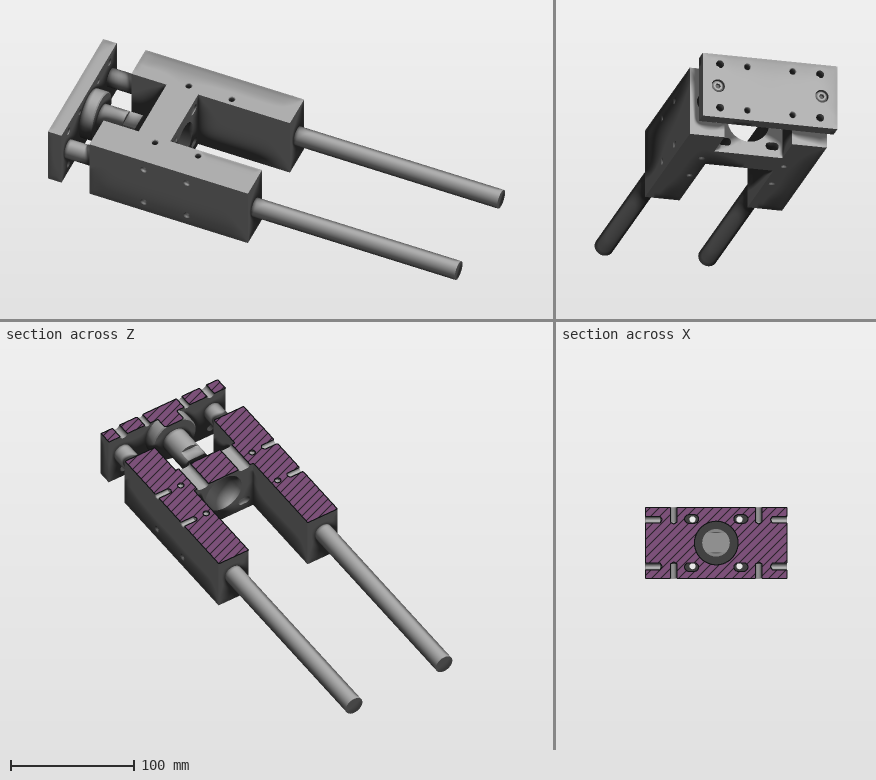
import cadquery as cq
import math


plate_thickness = 12.0
plate_width = 113.0
plate_height = 55.0

block_start = 37.0
block_length = 140.0
block_width = 115.0
block_height = 58.0
arm_width = 29.0
bridge_start = 68.0
bridge_thickness = 28.0
bridge_bore_diameter = 35.0
slot_length = 11.0
slot_width = 6.6
slot_pitch_y = 40.0
slot_pitch_z = 39.0

rod_diameter = 16.0
rod_spacing = 87.0
rod_end = 357.0

flange_diameter = 42.22
flange_thickness = 11.0
flange_chamfer = 1.0
shaft_diameter = 22.35
shaft_end = 56.0
flat_length = 11.0
across_flats = 15.6

bolt_pitch = 38.0
bolt_hole_diameter = 6.6
outer_hole_spacing = 84.0
tapped_diameter = 4.92
tapped_mouth_diameter = 6.0
tapped_depth = 12.0
drill_point_angle = 118.0
first_tapped_x = 85.0
top_tapped_spacing = 69.0

counterbore_diameter = 11.0
counterbore_depth = 7.0
screw_head_diameter = 10.0
screw_head_recess = 0.7
screw_head_chamfer = 1.5
socket_across_flats = 4.0
socket_depth = 3.0


def box_from(x_start, length, width, height):
    """Box that starts at x_start and is centred on the X axis."""
    box = cq.Workplane("XY").box(length, width, height, centered=(False, True, True))
    return box.translate((x_start, 0, 0))


def cylinder_along_x(x_start, length, diameter, y=0.0):
    """Cylinder that starts at x_start, with its axis parallel to X at height Z = 0."""
    profile = cq.Workplane("YZ", origin=(x_start, y, 0)).circle(diameter / 2)
    return profile.extrude(length)


def tapped_hole(depth):
    """Drilled hole with a drill point and a 45 degree countersunk mouth, going down from the origin."""
    radius = tapped_diameter / 2
    mouth_radius = tapped_mouth_diameter / 2
    point_length = radius / math.tan(math.radians(drill_point_angle / 2))
    half_profile = cq.Workplane("XZ").polyline([
        (0, 0),
        (mouth_radius, 0),
        (radius, radius - mouth_radius),
        (radius, -depth),
        (0, -depth - point_length),
    ])
    return half_profile.close().revolve(360, (0, 0, 0), (0, 1, 0))


def make_plate():
    """Front plate with four tapped and four clearance holes, all going through."""
    plate = box_from(0, plate_thickness, plate_width, plate_height)
    tapped_through_hole = tapped_hole(plate_thickness).rotate((0, 0, 0), (0, 1, 0), -90)
    clearance_hole = cylinder_along_x(0, plate_thickness, bolt_hole_diameter)
    for side in (-1, 1):
        for z in (-bolt_pitch / 2, bolt_pitch / 2):
            plate = plate.cut(tapped_through_hole.translate((0, side * bolt_pitch / 2, z)))
            plate = plate.cut(clearance_hole.translate((0, side * outer_hole_spacing / 2, z)))
    return plate


def make_rod_screw_recess(y):
    """Counterbore around a chamfered screw head, together with the hexagon socket in the head."""
    head_height = counterbore_depth - screw_head_recess
    head = cylinder_along_x(screw_head_recess, head_height, screw_head_diameter)
    head = head.faces("<X").chamfer(screw_head_chamfer)
    socket_corner_diameter = socket_across_flats / math.cos(math.pi / 6)
    socket = cq.Workplane("YZ", origin=(screw_head_recess, 0, 0)).polygon(6, socket_corner_diameter)
    head = head.cut(socket.extrude(socket_depth))
    counterbore = cylinder_along_x(0, counterbore_depth, counterbore_diameter)
    return counterbore.cut(head).translate((0, y, 0))


def make_block():
    """H-shaped block: two arms joined by a bridge with a central bore and four slots."""
    block = box_from(block_start, block_length, block_width, block_height)
    gap_width = block_width - 2 * arm_width
    bridge_end = bridge_start + bridge_thickness
    block_end = block_start + block_length
    block = block.cut(box_from(block_start, bridge_start - block_start, gap_width, block_height))
    block = block.cut(box_from(bridge_end, block_end - bridge_end, gap_width, block_height))
    block = block.cut(cylinder_along_x(bridge_start, bridge_thickness, bridge_bore_diameter))
    slot = cq.Workplane("YZ").slot2D(slot_length, slot_width).extrude(bridge_thickness)
    for y in (-slot_pitch_y / 2, slot_pitch_y / 2):
        for z in (-slot_pitch_z / 2, slot_pitch_z / 2):
            block = block.cut(slot.translate((bridge_start, y, z)))
    return block


def cut_tapped_holes(block):
    """Tapped holes, alike on opposite faces: four on each side, four on top and bottom."""
    hole = tapped_hole(tapped_depth)
    top_hole = hole.translate((0, 0, block_height / 2))
    side_hole = hole.rotate((0, 0, 0), (1, 0, 0), 90).translate((0, -block_width / 2, 0))
    for x in (first_tapped_x, first_tapped_x + bolt_pitch):
        for side in (-1, 1):
            top_pair = top_hole.translate((x, side * top_tapped_spacing / 2, 0))
            side_pair = side_hole.translate((x, 0, side * bolt_pitch / 2))
            block = block.cut(top_pair).cut(top_pair.mirror("XY"))
            block = block.cut(side_pair).cut(side_pair.mirror("XZ"))
    return block


def make_plunger():
    """Chamfered flange and shaft whose tip has two flats facing up and down."""
    flange = cylinder_along_x(plate_thickness, flange_thickness, flange_diameter)
    flange = flange.faces(">X").chamfer(flange_chamfer)
    shaft = cylinder_along_x(plate_thickness, shaft_end - plate_thickness, shaft_diameter)
    flat_start = shaft_end - flat_length
    tip = box_from(flat_start, flat_length, shaft_diameter, shaft_diameter)
    tip = tip.cut(box_from(flat_start, flat_length, shaft_diameter, across_flats))
    return flange.union(shaft.cut(tip))


result = make_plate().union(cut_tapped_holes(make_block())).union(make_plunger())
for rod_y in (-rod_spacing / 2, rod_spacing / 2):
    result = result.union(cylinder_along_x(plate_thickness, rod_end - plate_thickness, rod_diameter, rod_y))
    result = result.cut(make_rod_screw_recess(rod_y))